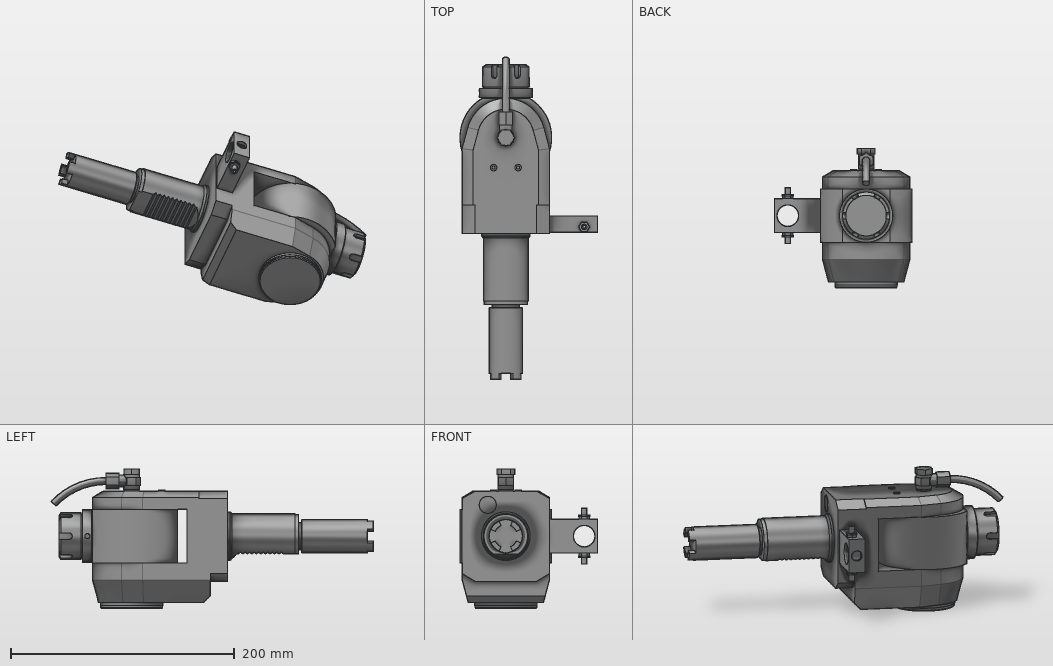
import cadquery as cq
import math


overall_length = 288.0

body_half_width = 78.0 / 2
body_top = 40.3
block_bottom = -40.3
pivot_y = 85.8
nose_radius = 35.0
nose_taper = 15.0
body_rear = pivot_y + nose_radius
top_chamfer_width = 9.8
top_chamfer_height = 5.8
skirt_top = -39.2
skirt_bottom = -59.3
skirt_draft = 15.0
skirt_front = 15.5
skirt_front_chamfer = 6.0
front_chamfer_width = 11.5
front_chamfer_height = 7.0
front_chamfer_length = 25.5
window_front = 36.5
window_half_height = 24.0
drum_radius = 82.0 / 2
cover_radius = 28.0
cover_bottom = -64.8
cover_chamfer = 1.0
cover_step_z = -62.0
cover_step = 0.3
plug_x = -16.0
plug_z = 28.0
plug_diameter = 15.3
plug_recess = 0.5
screw_x = 11.0
screw_y = 59.0
screw_radius = 3.0
screw_height = 1.0
screw_socket_radius = 1.5

flange_radius = 43.5 / 2
flange_edge = 2.0
shank_start = 4.0
shank_radius = 20.2
shank_tip_radius = 39.0 / 2
shank_tip_start = 60.2
shank_end = 63.3
neck_radius = 24.5 / 2
shaft_start = 66.0
shaft_radius = 15.0
shaft_end = 124.7
coupling_end = 130.0
shaft_chamfer = 0.5
claw_inner_radius = 10.5
claw_count = 4
claw_half_angle = 20.5
flat_z = -15.8
flat_start = 8.0
ramp_length = 4.5
serration_count = 10
serration_pitch = 4.0
serration_depth = 1.5
serration_start = 9.5

collar_radius = 47.5 / 2
collar_seat_inset = 3.0
collar_start = 121.5
collar_end = 129.9
nut_groove_radius = 20.0
nut_start = 131.0
nut_end = 151.0
nut_radius = 21.0
nut_chamfer_length = 2.0
nut_chamfer_depth = 3.0
nut_slot_count = 6
nut_slot_width = 5.8
nut_slot_bottom = 138.8
nut_slot_depth = 3.2
set_screw_y = 125.2
set_screw_diameter = 4.5
set_screw_depth = 2.3

bracket_end = body_half_width + 43.0
bracket_front = 1.2
bracket_rear = 15.8
bracket_half_height = 15.3
bracket_hole_x = 70.0
bracket_hole_diameter = 19.0
end_hole_diameter = 9.2
nipple_y = 6.0
nipple_base_corners = 9.5
nipple_hex_corners = 10.0
nipple_hex_start = 17.5
nipple_hex_end = nipple_hex_start + 1.3
nipple_pin_radius = 2.45
nipple_pin_end = 25.0
nipple_bore_radius = 1.2
nipple_port_radius = 2.45
nipple_port_end = 10.7

stem_radius = 14.0 / 2
seat_radius = 6.5
seat_top = 41.7
banjo_bottom = 45.2
banjo_top = 52.5
banjo_corners = 15.8
bolt_head_bottom = 55.0
bolt_head_top = 60.2
bolt_head_corners = 16.0
hose_z = 49.2
hose_neck_radius = 5.5
hose_nut_start = 97.0
hose_nut_end = 108.8
hose_nut_corners = 14.0
hose_radius = 3.2
hose_bend_angle = 47.0
hose_tip_y = overall_length - coupling_end
hose_bend_sine = math.sin(math.radians(hose_bend_angle))
hose_bend_radius = (hose_tip_y - hose_nut_end) / hose_bend_sine - hose_radius

joint_overlap = 3.0


def box(x_range, y_range, z_range):
    """Axis-aligned box between the given limits."""
    size = [high - low for low, high in (x_range, y_range, z_range)]
    corner = (x_range[0], y_range[0], z_range[0])
    return cq.Workplane("XY").box(*size, centered=False).translate(corner)


def vertical_cylinder(x, y, radius, bottom, top):
    return cq.Workplane("XY", origin=(x, y, bottom)).circle(radius).extrude(top - bottom)


def turned(points):
    """Solid of revolution about Y from (radius, y) points; the axis closes the profile."""
    profile = [(0, points[0][1])] + points + [(0, points[-1][1])]
    return cq.Workplane("XY").polyline(profile).close().revolve(360, (0, 0, 0), (0, 1, 0))


def hexagon_z(x, y, corners, bottom, top, turn=0):
    """Vertical hexagonal prism with two corners on X, turned by an angle about its axis."""
    prism = cq.Workplane("XY").polygon(6, corners).extrude(top - bottom)
    return prism.rotate((0, 0, 0), (0, 0, 1), turn).translate((x, y, bottom))


def housing_outline(level, front):
    """Plan outline with straight sides, tapered flanks and a tangent round nose."""
    angle = math.radians(nose_taper)
    flank_x = nose_radius * math.cos(angle)
    flank_y = pivot_y + nose_radius * math.sin(angle)
    side_end = flank_y - (body_half_width - flank_x) / math.tan(angle)
    return (
        cq.Workplane("XY", origin=(0, 0, level))
        .moveTo(-body_half_width, front)
        .lineTo(body_half_width, front)
        .lineTo(body_half_width, side_end)
        .lineTo(flank_x, flank_y)
        .threePointArc((0, body_rear), (-flank_x, flank_y))
        .lineTo(-body_half_width, side_end)
        .close()
    )


def front_corner_wedges(top, length):
    """Pair of wedges that bevel the long edges at the top or bottom of the front block."""
    sign = 1 if top else -1
    height = body_top if top else -block_bottom
    wedge = (
        cq.Workplane("XZ")
        .moveTo(body_half_width - front_chamfer_width, sign * height)
        .lineTo(body_half_width, sign * (height - front_chamfer_height))
        .lineTo(body_half_width, sign * height)
        .close()
        .extrude(-length)
    )
    return wedge.union(wedge.mirror("YZ"))


def make_housing():
    shoulder = body_top - top_chamfer_height
    top_angle = math.degrees(math.atan(top_chamfer_width / top_chamfer_height))
    skirt_height = skirt_top - skirt_bottom
    lead = -2 * top_chamfer_width
    roof = housing_outline(shoulder, lead).extrude(top_chamfer_height, taper=top_angle)
    skirt = housing_outline(skirt_top, lead).extrude(-skirt_height, taper=skirt_draft)
    wide = (-2 * body_half_width, 2 * body_half_width)
    roof = roof.cut(box(wide, (2 * lead, 0), (shoulder, body_top)))
    skirt = skirt.cut(box(wide, (2 * lead, skirt_front), (skirt_bottom, skirt_top)))
    bevel = (
        cq.Workplane("YZ", origin=(-body_half_width, 0, 0))
        .moveTo(skirt_front, skirt_bottom)
        .lineTo(skirt_front + skirt_front_chamfer, skirt_bottom)
        .lineTo(skirt_front, skirt_bottom + skirt_front_chamfer)
        .close()
        .extrude(2 * body_half_width)
    )
    side = (-body_half_width, body_half_width)
    body = housing_outline(skirt_top, 0).extrude(shoulder - skirt_top)
    body = body.union(roof).union(skirt.cut(bevel))
    body = body.union(box(side, (0, skirt_front), (block_bottom, 0)))
    body = body.cut(front_corner_wedges(True, front_chamfer_length))
    body = body.cut(front_corner_wedges(False, skirt_front))

    slot_height = (-window_half_height, window_half_height)
    body = body.cut(box(wide, (window_front, body_rear + joint_overlap), slot_height))
    drum = vertical_cylinder(0, pivot_y, drum_radius, *slot_height)
    drum = drum.intersect(box(wide, (0, body_rear), slot_height))
    body = body.union(drum)

    cover = vertical_cylinder(0, pivot_y, cover_radius, cover_step_z, skirt_bottom + joint_overlap)
    rim_radius = cover_radius - cover_step
    rim = vertical_cylinder(0, pivot_y, rim_radius, cover_bottom, cover_step_z)
    return body.union(cover).union(rim.faces("<Z").chamfer(cover_chamfer))


def make_plug_recess():
    recess = cq.Workplane("XZ", origin=(plug_x, 0, plug_z)).circle(plug_diameter / 2)
    return recess.extrude(-plug_recess)


def make_top_screw(x):
    head_top = body_top + screw_height
    head = vertical_cylinder(x, screw_y, screw_radius, body_top - joint_overlap, head_top)
    return head.cut(vertical_cylinder(x, screw_y, screw_socket_radius, body_top, head_top))


def make_shank():
    shank = turned([
        (flange_radius, joint_overlap),
        (flange_radius, -flange_edge),
        (shank_radius, -shank_start),
        (shank_radius, -shank_tip_start),
        (shank_tip_radius, -shank_tip_start),
        (shank_tip_radius, -shank_end),
        (neck_radius, -shank_end),
        (neck_radius, -shaft_start),
    ])
    return shank.cut(make_shank_flat())


def make_shank_flat():
    """Cutter for the serrated clamping flat under the shank, including its run-out ramp."""
    below = -flange_radius
    cutter = (
        cq.Workplane("YZ", origin=(-flange_radius, 0, 0))
        .moveTo(-shank_end, flat_z)
        .lineTo(-flat_start, flat_z)
        .lineTo(-flat_start + ramp_length, flat_z - ramp_length)
        .lineTo(-flat_start + ramp_length, below)
        .lineTo(-shank_end, below)
        .close()
        .extrude(2 * flange_radius)
    )
    for index in range(serration_count):
        groove_start = -serration_start - index * serration_pitch
        groove = (
            cq.Workplane("YZ", origin=(-flange_radius, 0, 0))
            .moveTo(groove_start, flat_z)
            .lineTo(groove_start - serration_pitch / 2, flat_z + serration_depth)
            .lineTo(groove_start - serration_pitch, flat_z)
            .close()
            .extrude(2 * flange_radius)
        )
        cutter = cutter.union(groove)
    return cutter


def make_drive_shaft():
    """Drive shaft ending in coupling claws that stand around a recessed end face."""
    shaft = turned([
        (neck_radius, -shank_end),
        (neck_radius, -shaft_start),
        (shaft_radius - shaft_chamfer, -shaft_start),
        (shaft_radius, -shaft_start - shaft_chamfer),
        (shaft_radius, -coupling_end),
    ])
    claw_length = coupling_end - shaft_end
    end_face = cq.Workplane("XZ", origin=(0, -shaft_end, 0))
    shaft = shaft.cut(end_face.circle(claw_inner_radius).extrude(claw_length))

    claw_spacing = 360 / claw_count
    gap_half_angle = math.radians(claw_spacing / 2 - claw_half_angle)
    gap_reach = 2 * shaft_radius
    gap_half_width = gap_reach * math.tan(gap_half_angle)
    gap = (
        end_face
        .polyline([(0, 0), (gap_reach, -gap_half_width), (gap_reach, gap_half_width)])
        .close()
        .extrude(claw_length)
    )
    for index in range(claw_count):
        shaft = shaft.cut(gap.rotate((0, 0, 0), (0, 1, 0), index * claw_spacing))
    return shaft


def make_collet_nut():
    nut = turned([
        (collar_radius - collar_seat_inset, body_rear - joint_overlap),
        (collar_radius - collar_seat_inset, collar_start),
        (collar_radius, collar_start),
        (collar_radius, collar_end),
        (nut_groove_radius, collar_end),
        (nut_groove_radius, nut_start),
        (nut_radius, nut_start),
        (nut_radius, nut_end - nut_chamfer_length),
        (nut_radius - nut_chamfer_depth, nut_end),
    ])
    slot_floor = nut_radius - nut_slot_depth
    slot_round_y = nut_slot_bottom + nut_slot_width / 2
    slot = (
        cq.Workplane("YZ", origin=(slot_floor, 0, 0))
        .moveTo(nut_end, nut_slot_width / 2)
        .lineTo(slot_round_y, nut_slot_width / 2)
        .threePointArc((nut_slot_bottom, 0), (slot_round_y, -nut_slot_width / 2))
        .lineTo(nut_end, -nut_slot_width / 2)
        .close()
        .extrude(nut_slot_depth)
    )
    for index in range(nut_slot_count):
        nut = nut.cut(slot.rotate((0, 0, 0), (0, 1, 0), index * 360 / nut_slot_count))
    set_screw_hole = (
        cq.Workplane("YZ", origin=(-collar_radius, 0, 0))
        .center(set_screw_y, 0)
        .circle(set_screw_diameter / 2)
        .extrude(set_screw_depth)
    )
    return nut.cut(set_screw_hole)


def make_nipple():
    """Hexagonal nipple with a slim spigot standing on top of the bracket."""
    place = (bracket_hole_x, nipple_y)
    nipple = hexagon_z(*place, nipple_base_corners, bracket_half_height, nipple_hex_start)
    nipple = nipple.union(hexagon_z(*place, nipple_hex_corners, nipple_hex_start, nipple_hex_end))
    return nipple.union(vertical_cylinder(*place, nipple_pin_radius, nipple_hex_end, nipple_pin_end))


def make_nipple_bore():
    """Passage from the nipple tip into the bracket hole, widened where it enters the hole."""
    place = (bracket_hole_x, nipple_y)
    port = vertical_cylinder(*place, nipple_port_radius, 0, nipple_port_end)
    return port.union(vertical_cylinder(*place, nipple_bore_radius, 0, nipple_pin_end))


def make_bracket():
    bracket = box(
        (body_half_width - joint_overlap, bracket_end),
        (bracket_front, bracket_rear),
        (-bracket_half_height, bracket_half_height),
    )
    hole = cq.Workplane("XZ", origin=(bracket_hole_x, 0, 0)).circle(bracket_hole_diameter / 2)
    bracket = bracket.cut(hole.extrude(-bracket_rear))
    nipple = make_nipple()
    bore = make_nipple_bore()
    bracket = bracket.union(nipple).union(nipple.mirror("XY"))
    bracket = bracket.cut(bore).cut(bore.mirror("XY"))
    bracket_middle = (bracket_front + bracket_rear) / 2
    end_hole = cq.Workplane("YZ", origin=(bracket_hole_x, bracket_middle, 0))
    return bracket.cut(end_hole.circle(end_hole_diameter / 2).extrude(bracket_end - bracket_hole_x))


def make_banjo_bolt():
    seat = vertical_cylinder(0, pivot_y, seat_radius, body_top - joint_overlap, seat_top)
    stem = vertical_cylinder(0, pivot_y, stem_radius, seat_top, banjo_bottom)
    banjo = hexagon_z(0, pivot_y, banjo_corners, banjo_bottom, banjo_top, 30)
    washer = vertical_cylinder(0, pivot_y, stem_radius, banjo_top, bolt_head_bottom)
    head = hexagon_z(0, pivot_y, bolt_head_corners, bolt_head_bottom, bolt_head_top)
    return seat.union(stem).union(banjo).union(washer).union(head)


def make_hose():
    """Hose nut on the banjo and the hose bending down towards the cutter."""
    neck = cq.Workplane("XZ", origin=(0, pivot_y, hose_z)).circle(hose_neck_radius)
    neck = neck.extrude(pivot_y - hose_nut_start)
    nut = cq.Workplane("XY").polygon(6, hose_nut_corners).extrude(hose_nut_end - hose_nut_start)
    nut = nut.rotate((0, 0, 0), (0, 0, 1), 30).rotate((0, 0, 0), (1, 0, 0), -90)
    nut = nut.translate((0, hose_nut_start, hose_z))
    hose = (
        cq.Workplane("XZ", origin=(0, hose_nut_end, hose_z))
        .circle(hose_radius)
        .revolve(hose_bend_angle, (3, -hose_bend_radius, 0), (-3, -hose_bend_radius, 0))
    )
    return neck.union(nut).union(hose)


result = make_housing().cut(make_plug_recess())
for feature in (
    make_top_screw(-screw_x),
    make_top_screw(screw_x),
    make_shank(),
    make_drive_shaft(),
    make_collet_nut(),
    make_bracket(),
    make_banjo_bolt(),
    make_hose(),
):
    result = result.union(feature)